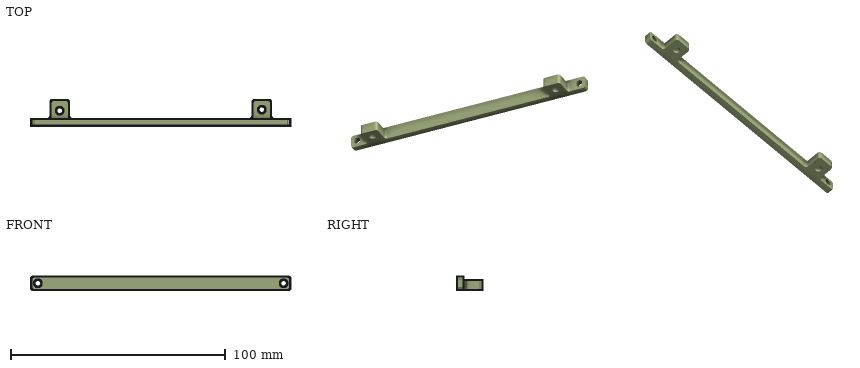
import cadquery as cq

BAR_LENGTH = 120.65
BAR_THICKNESS = 3.175
BAR_HEIGHT = 6.36
BAR_CORNER_RADIUS = 1.27

OVERALL_DEPTH = 12.06
TAB_WIDTH = 8.76
TAB_HEIGHT = 4.76
TAB_CORNER_RADIUS = 1.27
TAB_ROOT_RADIUS = 1.27
TAB_END_DISTANCE = 13.32

HOLE_DIAMETER = 3.28
BAR_HOLE_END_DISTANCE = 3.175
LEFT_TAB_HOLE_Y = 7.0
RIGHT_TAB_HOLE_Y = 7.48

LEFT = -1
RIGHT = 1


def make_bar():
    bar = cq.Workplane("XY").box(BAR_LENGTH, BAR_THICKNESS, BAR_HEIGHT, centered=(True, False, False))
    return bar.edges("|Y").fillet(BAR_CORNER_RADIUS)


def make_tab(side):
    """Tab with rounded outer corners and concave fillets where it meets the bar."""
    x_center = side * (BAR_LENGTH / 2 - TAB_END_DISTANCE)
    half_width = TAB_WIDTH / 2
    root_half_width = half_width + TAB_ROOT_RADIUS
    root_y = BAR_THICKNESS + TAB_ROOT_RADIUS
    outline = (
        cq.Workplane("XY")
        .center(x_center, 0)
        .moveTo(-root_half_width, BAR_THICKNESS)
        .radiusArc((-half_width, root_y), -TAB_ROOT_RADIUS)
        .lineTo(-half_width, OVERALL_DEPTH - TAB_CORNER_RADIUS)
        .radiusArc((-half_width + TAB_CORNER_RADIUS, OVERALL_DEPTH), TAB_CORNER_RADIUS)
        .lineTo(half_width - TAB_CORNER_RADIUS, OVERALL_DEPTH)
        .radiusArc((half_width, OVERALL_DEPTH - TAB_CORNER_RADIUS), TAB_CORNER_RADIUS)
        .lineTo(half_width, root_y)
        .radiusArc((root_half_width, BAR_THICKNESS), -TAB_ROOT_RADIUS)
        .close()
    )
    return outline.extrude(TAB_HEIGHT)


def make_bar_hole(side):
    x_center = side * (BAR_LENGTH / 2 - BAR_HOLE_END_DISTANCE)
    axis_start = cq.Workplane("XZ").center(x_center, BAR_HEIGHT / 2)
    return axis_start.circle(HOLE_DIAMETER / 2).extrude(-BAR_THICKNESS)


def make_tab_hole(side, y_center):
    x_center = side * (BAR_LENGTH / 2 - TAB_END_DISTANCE)
    axis_start = cq.Workplane("XY").center(x_center, y_center)
    return axis_start.circle(HOLE_DIAMETER / 2).extrude(TAB_HEIGHT)


result = make_bar()
for end, tab_hole_y in ((LEFT, LEFT_TAB_HOLE_Y), (RIGHT, RIGHT_TAB_HOLE_Y)):
    result = result.union(make_tab(end))
    result = result.cut(make_bar_hole(end))
    result = result.cut(make_tab_hole(end, tab_hole_y))